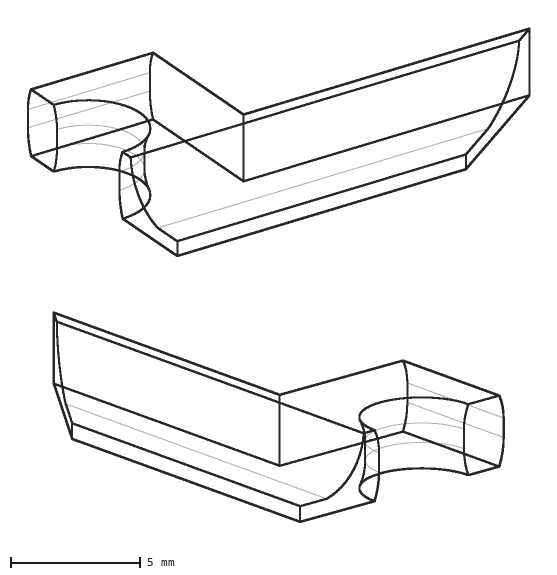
import cadquery as cq
import math

width = 10.46
length = 18.95
height = 2.9

block_length = 5.67
arm_left = 6.55
slant_start = 13.4

band_bottom = 1.14
band_top = 1.93
crown_depth = 0.23

opening_x = 4.23
waist_radius = 2.18

shoulder_top_x = 7.2
shoulder_foot_x = 9.1
flange_thickness = 0.65
shoulder_sag = 0.5


def crowned_profile(crest, back):
    """Section from a straight back to a crest, with arcs tangent to the flat band."""
    toward_back = math.copysign(1, back - crest)
    edge = crest + toward_back * crown_depth

    def arc_middle(band_z, end_z):
        rise = end_z - band_z
        radius = (rise**2 + crown_depth**2) / (2 * crown_depth)
        half_angle = math.asin(rise / radius) / 2
        inset = radius * (1 - math.cos(half_angle))
        return crest + toward_back * inset, band_z + radius * math.sin(half_angle)

    return (
        cq.Workplane("XZ")
        .moveTo(back, 0)
        .lineTo(edge, 0)
        .threePointArc(arc_middle(band_bottom, 0), (crest, band_bottom))
        .lineTo(crest, band_top)
        .threePointArc(arc_middle(band_top, height), (edge, height))
        .lineTo(back, height)
        .close()
    )


def plan_body():
    outline = [
        (0, 0),
        (width, 0),
        (width, slant_start),
        (arm_left, length),
        (arm_left, block_length),
        (0, block_length),
    ]
    return cq.Workplane("XY").polyline(outline).close().extrude(height)


def side_envelope():
    """Full-length bar whose left side carries the crown."""
    return crowned_profile(0, width).extrude(-length)


def opening():
    """Hourglass cutter: a cylinder minus the crowned ring around its waist."""
    outer_radius = waist_radius + crown_depth
    cylinder = cq.Workplane("XY").circle(outer_radius).extrude(height)
    ring = crowned_profile(waist_radius, 2 * outer_radius).revolve(360, (0, 0), (0, 1))
    return cylinder.cut(ring).translate((opening_x, 0, 0))


def shoulder_cut():
    """Material removed above the flange, bounded by the concave arc."""
    run = shoulder_foot_x - shoulder_top_x
    drop = height - flange_thickness
    chord = math.hypot(run, drop)
    arc_middle = (
        (shoulder_top_x + shoulder_foot_x) / 2 - shoulder_sag * drop / chord,
        (height + flange_thickness) / 2 - shoulder_sag * run / chord,
    )
    return (
        cq.Workplane("XZ")
        .moveTo(shoulder_top_x, height)
        .threePointArc(arc_middle, (shoulder_foot_x, flange_thickness))
        .lineTo(width, flange_thickness)
        .lineTo(width, height)
        .close()
        .extrude(-length)
    )


result = plan_body().intersect(side_envelope()).cut(opening()).cut(shoulder_cut())